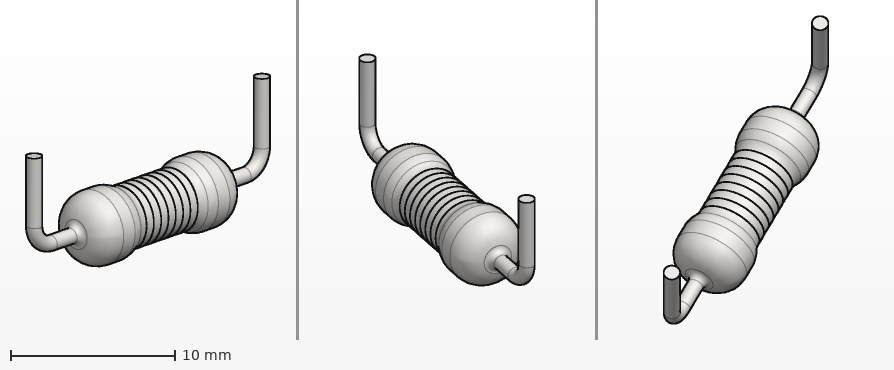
import cadquery as cq
import math

overall_length = 21.0
overall_height = 8.4

lead_diameter = 1.0
lead_radius = lead_diameter / 2
bend_radius = 1.5
lead_y = overall_length / 2 - lead_radius
bend_start_y = lead_y - bend_radius

cap_radius = 4.8 / 2
waist_radius = 4.07 / 2
waist_end_y = 2.25
cap_inner_y = 3.65
cap_outer_y = 4.66
body_end_y = 6.35
collar_fillet = 0.45
collar_radius = lead_radius + collar_fillet
collar_end_y = body_end_y + collar_fillet
lead_top_z = overall_height - cap_radius

band_radius = 4.1 / 2
zone_count = 7
zone_width = 2 * waist_end_y / zone_count


def make_end():
    """Revolve the +Y end: S-shaped shoulder, domed cap and lead collar."""
    shoulder_middle = ((waist_radius + cap_radius) / 2, (waist_end_y + cap_inner_y) / 2)
    rise = shoulder_middle[0] - waist_radius
    run = shoulder_middle[1] - waist_end_y
    shoulder_radius = (rise ** 2 + run ** 2) / (2 * rise)
    half_angle = math.asin(run / shoulder_radius) / 2
    shoulder_arc_point = (
        waist_radius + shoulder_radius * (1 - math.cos(half_angle)),
        waist_end_y + shoulder_radius * math.sin(half_angle),
    )
    collar_arc_offset = collar_fillet * (1 - 0.5 ** 0.5)
    collar_middle = (lead_radius + collar_arc_offset, body_end_y + collar_arc_offset)
    profile = (
        cq.Workplane("XY")
        .moveTo(0, waist_end_y)
        .lineTo(waist_radius, waist_end_y)
        .threePointArc(shoulder_arc_point, shoulder_middle)
        .tangentArcPoint((cap_radius, cap_inner_y), relative=False)
        .lineTo(cap_radius, cap_outer_y)
        .tangentArcPoint((collar_radius, body_end_y), relative=False)
        .threePointArc(collar_middle, (lead_radius, collar_end_y))
        .lineTo(0, collar_end_y)
        .close()
    )
    return profile.revolve(360, (0, 0, 0), (0, 1, 0))


def make_lead():
    """Sweep the +Y wire from inside the collar, round the bend and up."""
    path = (
        cq.Workplane("YZ")
        .moveTo(body_end_y, 0)
        .lineTo(bend_start_y, 0)
        .tangentArcPoint((lead_y, bend_radius), relative=False)
        .lineTo(lead_y, lead_top_z)
    )
    section = cq.Workplane("XZ", origin=(0, body_end_y, 0)).circle(lead_radius)
    return section.sweep(path)


def make_zone(index):
    """Make one waist zone; even zones carry a raised colour band."""
    radius = band_radius if index % 2 == 0 else waist_radius
    start_y = -waist_end_y + index * zone_width
    return cq.Workplane("XZ", origin=(0, start_y, 0)).circle(radius).extrude(-zone_width)


end = make_end().union(make_lead())
result = end.union(end.mirror("XZ"))

for zone in range(zone_count):
    result = result.union(make_zone(zone))